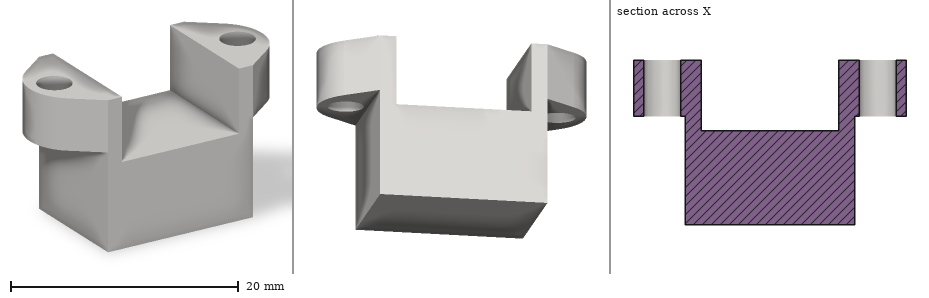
import cadquery as cq
import math

width = 11.5
overall_length = 23.97
height = 14.5
ear_radius = 4.5
ear_thickness = 4.99
slot_length = 12.05
slot_depth = 6.2
hole_diameter = 3.2
hole_spacing = 18.91

half_width = width / 2
end_face = overall_length / 2 - ear_radius
ear_bottom = height - ear_thickness

tangent_x = ear_radius**2 / half_width
tangent_y = end_face + math.sqrt(ear_radius**2 - tangent_x**2)


def make_block():
    """Block with a slot running through it along X."""
    block = cq.Workplane("XY").box(width, 2 * end_face, height, centered=(True, True, False))
    slot = (
        cq.Workplane("XY", origin=(0, 0, height - slot_depth))
        .box(width, slot_length, slot_depth, centered=(True, True, False))
    )
    return block.cut(slot)


def make_ear(side):
    """Mounting ear on the +Y (side = 1) or -Y (side = -1) end face."""
    return (
        cq.Workplane("XY", origin=(0, 0, ear_bottom))
        .moveTo(-half_width, side * end_face)
        .lineTo(-tangent_x, side * tangent_y)
        .threePointArc((0, side * overall_length / 2), (tangent_x, side * tangent_y))
        .lineTo(half_width, side * end_face)
        .close()
        .extrude(ear_thickness)
    )


def make_holes():
    """Vertical screw holes through both ears."""
    return (
        cq.Workplane("XY", origin=(0, 0, ear_bottom))
        .pushPoints([(0, -hole_spacing / 2), (0, hole_spacing / 2)])
        .circle(hole_diameter / 2)
        .extrude(ear_thickness)
    )


result = make_block()
for side in (-1, 1):
    result = result.union(make_ear(side))
result = result.cut(make_holes())